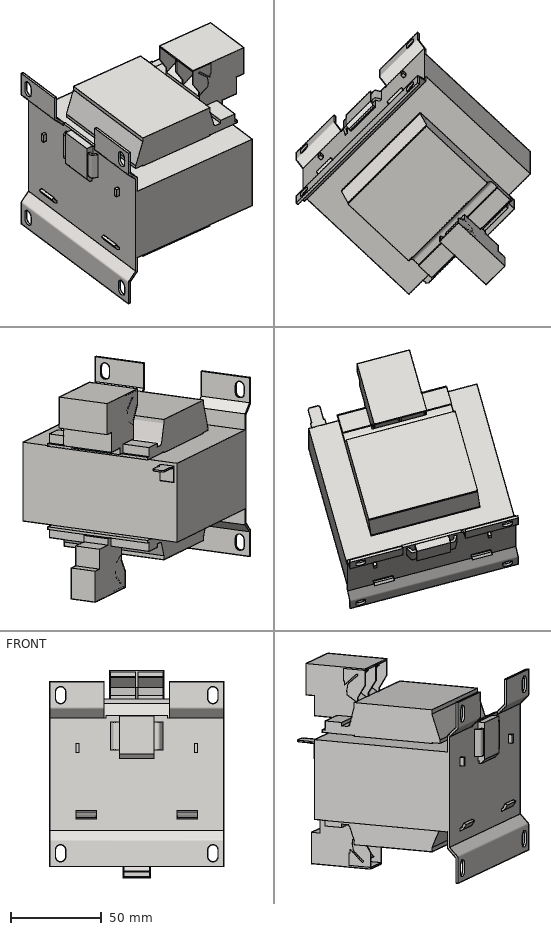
import cadquery as cq
import math


WIDTH = 96.0
DEPTH = 106.4
HEIGHT = 114.2
CLEARANCE = 1.1

SHEET = 1.4
PLATE_FRONT = 5.1
PLATE_BACK = PLATE_FRONT + SHEET
PLATE_HALF_HEIGHT = 50.9
FLANGE_BEND = 36.2
BEND_SHIFT = SHEET * math.tan(math.radians(45 / 2))
BEND_RADIUS = 1.6
TONGUE_TOP = 32.3
TONGUE_HALF_WIDTH = 17.0
NOTCH_HALF_WIDTH = 17.9
NOTCH_BOTTOM = 30.8
SLOT_WIDTH = 5.5
SLOT_LENGTH = 9.3
SLOT_X = 41.9
SLOT_Z = 43.5

CORE_HALF_HEIGHT = 22.5
CORE_BACK = 86.6
BOBBIN_WIDTH = 62.1
UPPER_CROWN = 41.5
LOWER_CROWN = 38.6
CROWN_EDGE = 2.4
SEAT = 23.0
LEDGE = 29.6
LEDGE_BACK = 87.6
LEDGE_FRONT = 77.7
RIM_BACK = 89.4
RIM_TOP = 24.4
BOBBIN_FRONT = 18.4
RIM_FRONT_TOP = 24.9
CROWN_FRONT = 23.3
CROWN_BACK = 70.1
GROOVE_BOTTOM = 27.6
GROOVE_CORNER = 73.2
GROOVE_RADIUS = 1.9

TERMINAL_WIDTH = 15.0
TERMINAL_WALL = 0.6
TERMINAL_TOP = HEIGHT / 2
TERMINAL_FACE = 75.3
TERMINAL_LIP = 70.8
LIP_BOTTOM = 47.7
FACE_TOP = 40.4
HEEL_BACK = 91.4
BODY_BACK = 101.3
BODY_BOTTOM = 28.1
HEAD_BOTTOM = 39.4
ENTRY_ROOF = 56.2
ENTRY_FLOOR = 37.5
ENTRY_BACK = 83.8
ENTRY_BACK_BOTTOM = 49.1
CONTACT_BACK = 83.3
CONTACT_ROOT = 43.4
ENTRY_STEP = 81.8
ENTRY_STEP_BOTTOM = 41.5

EARTH_X = -42.0
EARTH_SHEET = 0.9
EARTH_TOP = 20.7
EARTH_FOOT = 11.5
EARTH_WIDTH = 8.3
EARTH_SHOULDER = 89.8
BLADE_WIDTH = 6.9
BLADE_END = 98.2
BLADE_CHAMFER = 0.9

LATCH_WIDTH = 19.2
LATCH_TOP = 32.0
LATCH_FRONT = 1.0
LATCH_BOTTOM = 8.7
LATCH_BEVEL_TOP = 11.2
LATCH_BEVEL_BACK = 3.2
LATCH_HEEL = 4.5
LATCH_HEEL_TOP = 9.9
SPRING_TOP = 28.7
SPRING_BOTTOM = 13.4
SPRING_FRONT = 1.7
SPRING_SHEET = 1.4
SPRING_FOOT = 14.4
SPRING_FOOT_INNER = 12.8
SPRING_KNEE = 12.5
SPRING_KNEE_INNER = 11.6
SPRING_KNEE_RADIUS = 1.4
PEG_X = 32.7
PEG_WIDTH = 1.8
PEG_TIP = 3.0
PEG_TOP = 16.8
PEG_BOTTOM = 12.0
HOOK_INNER = 22.3
HOOK_OUTER = 33.6


def box(x_range, y_range, z_range):
    """Block spanning the given (low, high) pairs."""
    size = [high - low for low, high in (x_range, y_range, z_range)]
    corner = (x_range[0], y_range[0], z_range[0])
    return cq.Workplane("XY").box(*size, centered=False).translate(corner)


def side_extrusion(points, width, x_center=0.0):
    """Extrude a (Y, Z) outline symmetrically along X."""
    profile = cq.Workplane("YZ").polyline(points).close()
    return profile.extrude(width / 2, both=True).translate((x_center, 0, 0))


def flip_down(body):
    """The same body on the underside."""
    return body.mirror("XY")


def mounting_plate():
    step_end = FLANGE_BEND - PLATE_FRONT
    front = [(0, PLATE_HALF_HEIGHT), (0, FLANGE_BEND), (PLATE_FRONT, step_end)]
    back = [
        (PLATE_BACK, step_end + BEND_SHIFT),
        (SHEET, FLANGE_BEND + BEND_SHIFT),
        (SHEET, PLATE_HALF_HEIGHT),
    ]
    front_down = [(y, -z) for y, z in reversed(front)]
    back_up = [(y, -z) for y, z in reversed(back)]
    plate = side_extrusion(front + front_down + back_up + back, WIDTH)
    for side in (1, -1):
        corner = cq.selectors.NearestToPointSelector((0, 0, side * FLANGE_BEND))
        plate = plate.edges(corner).fillet(BEND_RADIUS)

    notch_x = (-NOTCH_HALF_WIDTH, NOTCH_HALF_WIDTH)
    plate = plate.cut(box(notch_x, (-CLEARANCE, PLATE_BACK + CLEARANCE), (NOTCH_BOTTOM, HEIGHT)))
    tongue_x = (-TONGUE_HALF_WIDTH, TONGUE_HALF_WIDTH)
    plate = plate.union(box(tongue_x, (PLATE_FRONT, PLATE_BACK), (0, TONGUE_TOP)))

    slot_centers = [(x, z) for x in (-SLOT_X, SLOT_X) for z in (-SLOT_Z, SLOT_Z)]
    slots = (
        cq.Workplane("XZ")
        .pushPoints(slot_centers)
        .slot2D(SLOT_LENGTH, SLOT_WIDTH, 90)
        .extrude(PLATE_BACK, both=True)
    )
    return plate.cut(slots)


def core():
    half = WIDTH / 2
    return box((-half, half), (PLATE_BACK, CORE_BACK), (-CORE_HALF_HEIGHT, CORE_HALF_HEIGHT))


def bobbin(crown):
    """Upper bobbin whose crown reaches the given height."""
    outline = [
        (CROWN_FRONT, 0),
        (CROWN_FRONT, SEAT),
        (BOBBIN_FRONT, SEAT),
        (BOBBIN_FRONT, RIM_FRONT_TOP),
        (CROWN_FRONT, crown - CROWN_EDGE),
        (CROWN_FRONT, crown),
        (CROWN_BACK, crown),
        (CROWN_BACK, crown - CROWN_EDGE),
        (GROOVE_CORNER, GROOVE_BOTTOM),
        (LEDGE_FRONT, GROOVE_BOTTOM),
        (LEDGE_FRONT, LEDGE),
        (LEDGE_BACK, LEDGE),
        (LEDGE_BACK, RIM_TOP),
        (RIM_BACK, RIM_TOP),
        (RIM_BACK, SEAT),
        (CROWN_BACK, SEAT),
        (CROWN_BACK, 0),
    ]
    corner = cq.selectors.NearestToPointSelector((0, GROOVE_CORNER, GROOVE_BOTTOM))
    return side_extrusion(outline, BOBBIN_WIDTH).edges(corner).fillet(GROOVE_RADIUS)


def terminal(x_center):
    """Terminal block with an open wire entry and a bent spring contact inside it."""
    housing = side_extrusion(
        [
            (DEPTH, TERMINAL_TOP),
            (TERMINAL_LIP, TERMINAL_TOP),
            (TERMINAL_LIP, LIP_BOTTOM),
            (TERMINAL_FACE, FACE_TOP),
            (TERMINAL_FACE, LEDGE),
            (LEDGE_BACK, LEDGE),
            (LEDGE_BACK, RIM_TOP),
            (HEEL_BACK, RIM_TOP),
            (HEEL_BACK, BODY_BOTTOM),
            (BODY_BACK, BODY_BOTTOM),
            (BODY_BACK, HEAD_BOTTOM),
            (DEPTH, HEAD_BOTTOM),
        ],
        TERMINAL_WIDTH,
        x_center,
    )
    entry_width = TERMINAL_WIDTH - 2 * TERMINAL_WALL
    entry = side_extrusion(
        [
            (TERMINAL_LIP - CLEARANCE, ENTRY_ROOF),
            (ENTRY_BACK, ENTRY_ROOF),
            (ENTRY_BACK, ENTRY_BACK_BOTTOM),
            (CONTACT_BACK, ENTRY_BACK_BOTTOM),
            (CONTACT_BACK, CONTACT_ROOT),
            (ENTRY_STEP, CONTACT_ROOT),
            (ENTRY_STEP, ENTRY_STEP_BOTTOM),
            (TERMINAL_FACE, ENTRY_FLOOR),
            (TERMINAL_LIP - CLEARANCE, ENTRY_FLOOR),
        ],
        entry_width,
        x_center,
    )
    contact = side_extrusion(
        [
            (76.0, 53.8),
            (75.1, 53.2),
            (81.3, 47.7),
            (82.1, CONTACT_ROOT),
            (CONTACT_BACK, CONTACT_ROOT),
            (CONTACT_BACK, 47.0),
            (81.8, 48.4),
        ],
        TERMINAL_WIDTH - TERMINAL_WALL,
        x_center,
    )
    return housing.cut(entry).union(contact)


def earth_tab():
    foot_x = (EARTH_X - EARTH_WIDTH / 2, EARTH_X + EARTH_WIDTH / 2)
    blade_x = (EARTH_X - BLADE_WIDTH / 2, EARTH_X + BLADE_WIDTH / 2)
    blade_z = (EARTH_TOP - EARTH_SHEET, EARTH_TOP)
    foot = box(foot_x, (CORE_BACK, CORE_BACK + EARTH_SHEET), (EARTH_FOOT, EARTH_TOP))
    shoulder = box(foot_x, (CORE_BACK, EARTH_SHOULDER), blade_z)
    blade = box(blade_x, (CORE_BACK, BLADE_END), blade_z)
    blade = blade.faces(">Y").edges("|Z").chamfer(BLADE_CHAMFER)
    return foot.union(shoulder).union(blade)


def latch():
    outline = [
        (PLATE_BACK, LATCH_TOP),
        (LATCH_FRONT, LATCH_TOP),
        (LATCH_FRONT, LATCH_BEVEL_TOP),
        (LATCH_BEVEL_BACK, LATCH_BOTTOM),
        (LATCH_HEEL, LATCH_BOTTOM),
        (LATCH_HEEL, LATCH_HEEL_TOP),
        (PLATE_BACK, LATCH_HEEL_TOP),
    ]
    return side_extrusion(outline, LATCH_WIDTH)


def latch_spring():
    """Bent strip from the plate to the -X flank of the latch."""
    latch_flank = -LATCH_WIDTH / 2
    inner_face = SPRING_FRONT + SPRING_SHEET
    outline = [
        (-SPRING_FOOT, PLATE_FRONT),
        (-SPRING_KNEE, SPRING_FRONT),
        (latch_flank, SPRING_FRONT),
        (latch_flank, inner_face),
        (-SPRING_KNEE_INNER, inner_face),
        (-SPRING_FOOT_INNER, PLATE_FRONT),
    ]
    strip = cq.Workplane("XY").polyline(outline).close().extrude(SPRING_TOP - SPRING_BOTTOM)
    knee = cq.selectors.NearestToPointSelector(
        (-SPRING_KNEE, SPRING_FRONT, (SPRING_TOP - SPRING_BOTTOM) / 2)
    )
    return strip.edges(knee).fillet(SPRING_KNEE_RADIUS).translate((0, 0, SPRING_BOTTOM))


def peg():
    peg_x = (-PEG_X - PEG_WIDTH / 2, -PEG_X + PEG_WIDTH / 2)
    return box(peg_x, (PEG_TIP, PLATE_BACK), (PEG_BOTTOM, PEG_TOP))


def rail_hook():
    """Hook bent forward and up out of the plate."""
    outline = [
        (PLATE_FRONT, -24.7),
        (3.4, -23.8),
        (2.6, -22.7),
        (1.5, -20.8),
        (3.0, -20.1),
        (3.9, -21.9),
        (4.7, -23.0),
        (PLATE_FRONT, -23.2),
    ]
    return side_extrusion(outline, HOOK_OUTER - HOOK_INNER, -(HOOK_OUTER + HOOK_INNER) / 2)


result = mounting_plate().union(core())

result = result.union(bobbin(UPPER_CROWN)).union(flip_down(bobbin(LOWER_CROWN)))

for terminal_x in (-TERMINAL_WIDTH / 2, TERMINAL_WIDTH / 2):
    result = result.union(terminal(terminal_x))
result = result.union(flip_down(terminal(0)))

result = result.union(earth_tab()).union(latch())

for left_part in (latch_spring(), peg(), rail_hook()):
    result = result.union(left_part).union(left_part.mirror("YZ"))